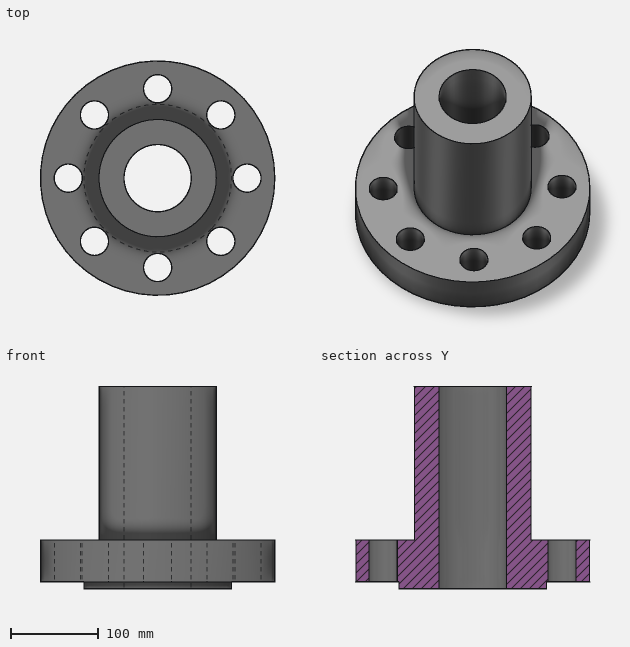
import cadquery as cq

flange_diameter = 266.7
flange_thickness = 47.75

face_diameter = 168.1
face_height = 7.95

neck_diameter = 133.35
overall_height = 230.2
neck_height = overall_height - face_height - flange_thickness

bore_diameter = 76.2

bolt_hole_count = 8
bolt_hole_diameter = 31.75
bolt_circle_diameter = 203.2


def make_body():
    """Stack the raised face, the plate and the neck along Z."""
    return (
        cq.Workplane("XY")
        .circle(face_diameter / 2)
        .extrude(face_height)
        .faces(">Z")
        .workplane()
        .circle(flange_diameter / 2)
        .extrude(flange_thickness)
        .faces(">Z")
        .workplane()
        .circle(neck_diameter / 2)
        .extrude(neck_height)
    )


def make_bore():
    """Cylinder that opens the part from the raised face to the neck end."""
    return cq.Workplane("XY").circle(bore_diameter / 2).extrude(overall_height)


def make_bolt_holes():
    """Ring of cylinders through the plate, the first one on +X."""
    return (
        cq.Workplane("XY")
        .workplane(offset=face_height)
        .polarArray(bolt_circle_diameter / 2, 0, 360, bolt_hole_count)
        .circle(bolt_hole_diameter / 2)
        .extrude(flange_thickness)
    )


result = make_body().cut(make_bore()).cut(make_bolt_holes())